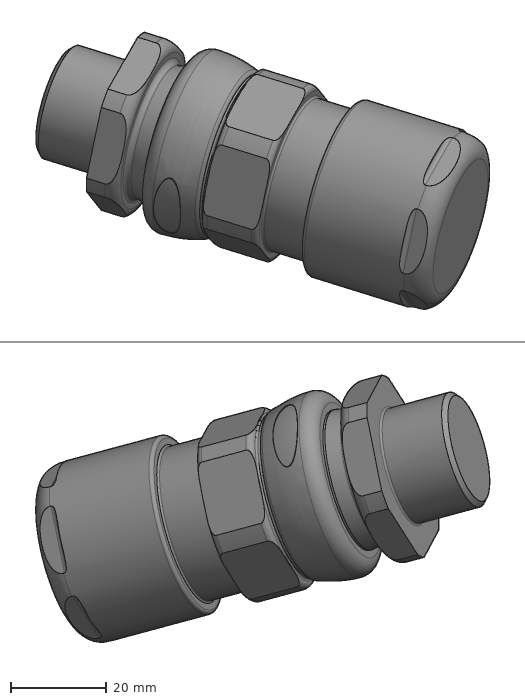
import cadquery as cq
import math


ACROSS_FLATS = 36.1
HEX_CORNER_RADIUS = 19.8
SIDES = 6
FOOT_FILLET = 0.5

THREAD_RADIUS = 25.0 / 2
THREAD_CHAMFER = 1.0
THREAD_TIP_RADIUS = THREAD_RADIUS - THREAD_CHAMFER
ENTRY_HEX_START = 15.0
ENTRY_HEX_END = 21.8
ENTRY_HEX_ROUND = 2.6
NECK_START_RADIUS = 29.3 / 2
NECK_END_RADIUS = 30.5 / 2
NECK_FILLET = 1.3
NECK_END = 26.4

RING_FACE = 26.8
RING_RADIUS = 40.5 / 2
RING_ROUND = 3.4
RING_CROWN_RADIUS = 25.45
RING_CROWN_END = 39.2
RING_END = 40.0
PAD_HEIGHT = 0.14
PAD_CENTER = 33.45
PAD_HALF_LENGTH = 2.9
PAD_HALF_HEIGHT = 8.45

BOSS_RADIUS = 17.8
NUT_START = 41.0
NUT_END = 53.85
NUT_FRONT_ROUND = 1.5
NUT_BACK_ROUND = 1.3
SLEEVE_RADIUS = 33.5 / 2
SLEEVE_END = 63.8

CAP_RADIUS = 19.5
CAP_FRONT_ROUND = 0.8
CAP_BACK_ROUND = 4.7
CAP_FLAT_START = 85.9
CAP_FLAT_FILLET = 1.0
TOTAL_LENGTH = 91.9


def turned(profile):
    """Close a half profile, drawn as (x, radius), and revolve it about the X axis."""
    return profile.close().revolve(360, (0, 0, 0), (1, 0, 0))


def start_profile(x):
    """Begin a half profile on the axis at the given x."""
    return cq.Workplane("XY").moveTo(x, 0)


def hex_prism(start, end):
    """Hexagonal bar along X with flats facing +Z and -Z."""
    corner_diameter = ACROSS_FLATS / math.cos(math.pi / SIDES)
    return (
        cq.Workplane("YZ", origin=(start, 0, 0))
        .polygon(SIDES, corner_diameter)
        .extrude(end - start)
    )


def arc_before_shoulder(profile, x, radius, fillet):
    """Run along a cylinder of the given radius and flare out concavely to a shoulder at x."""
    start = x - fillet
    profile = profile.lineTo(start, radius)
    return profile.tangentArcPoint((x, radius + fillet), relative=False)


def make_entry():
    """Threaded end, rounded hexagon and flaring neck."""
    thread = start_profile(0).lineTo(0, THREAD_TIP_RADIUS).lineTo(THREAD_CHAMFER, THREAD_RADIUS)
    thread = arc_before_shoulder(thread, ENTRY_HEX_START, THREAD_RADIUS, FOOT_FILLET)
    thread = turned(thread.lineTo(ENTRY_HEX_START, 0))

    hexagon = turned(
        start_profile(ENTRY_HEX_START)
        .lineTo(ENTRY_HEX_START, HEX_CORNER_RADIUS)
        .lineTo(ENTRY_HEX_END - ENTRY_HEX_ROUND, HEX_CORNER_RADIUS)
        .tangentArcPoint((ENTRY_HEX_END, HEX_CORNER_RADIUS - ENTRY_HEX_ROUND), relative=False)
        .lineTo(ENTRY_HEX_END, 0)
    ).intersect(hex_prism(ENTRY_HEX_START, ENTRY_HEX_END))

    fillet_drop = NECK_FILLET * (1 - math.sqrt(0.5))
    neck = turned(
        start_profile(ENTRY_HEX_END)
        .lineTo(ENTRY_HEX_END, NECK_START_RADIUS + NECK_FILLET)
        .threePointArc(
            (ENTRY_HEX_END + fillet_drop, NECK_START_RADIUS + fillet_drop),
            (ENTRY_HEX_END + NECK_FILLET, NECK_START_RADIUS),
        )
        .lineTo(NECK_END, NECK_END_RADIUS)
        .lineTo(NECK_END, 0)
    )
    return thread.union(hexagon).union(neck)


def ring_blank(raise_by):
    """Rounded ring, with its crown raised by the given height."""
    crown_start = RING_FACE + RING_ROUND
    crown_run = RING_CROWN_END - crown_start
    crown_drop = RING_CROWN_RADIUS - math.sqrt(RING_CROWN_RADIUS**2 - crown_run**2)
    top = RING_RADIUS + raise_by
    round_offset = RING_ROUND * math.sqrt(0.5)
    return turned(
        start_profile(NECK_END)
        .lineTo(NECK_END, NECK_END_RADIUS)
        .lineTo(RING_FACE, NECK_END_RADIUS)
        .lineTo(RING_FACE, top - RING_ROUND)
        .threePointArc(
            (crown_start - round_offset, top - RING_ROUND + round_offset),
            (crown_start, top),
        )
        .tangentArcPoint((RING_CROWN_END, top - crown_drop), relative=False)
        .tangentArcPoint((RING_END, BOSS_RADIUS + raise_by), relative=False)
        .lineTo(RING_END, 0)
    )


def make_seal_ring():
    """Crowned ring with a slightly raised elliptical pad on each side."""
    pads = (
        cq.Workplane("XZ")
        .center(PAD_CENTER, 0)
        .ellipse(PAD_HALF_LENGTH, PAD_HALF_HEIGHT)
        .extrude(2 * RING_RADIUS, both=True)
        .intersect(ring_blank(PAD_HEIGHT))
    )
    return ring_blank(0).union(pads)


def make_middle_nut():
    """Hexagon with a short boss towards the ring and a sleeve towards the cap."""
    hexagon = turned(
        start_profile(NUT_START)
        .lineTo(NUT_START, HEX_CORNER_RADIUS - NUT_FRONT_ROUND)
        .radiusArc((NUT_START + NUT_FRONT_ROUND, HEX_CORNER_RADIUS), NUT_FRONT_ROUND)
        .lineTo(NUT_END - NUT_BACK_ROUND, HEX_CORNER_RADIUS)
        .radiusArc((NUT_END, HEX_CORNER_RADIUS - NUT_BACK_ROUND), NUT_BACK_ROUND)
        .lineTo(NUT_END, 0)
    ).intersect(hex_prism(NUT_START, NUT_END))

    boss = start_profile(RING_END).lineTo(RING_END, BOSS_RADIUS)
    boss = arc_before_shoulder(boss, NUT_START, BOSS_RADIUS, FOOT_FILLET)
    boss = turned(boss.lineTo(NUT_START, 0))

    sleeve = (
        start_profile(NUT_END)
        .lineTo(NUT_END, SLEEVE_RADIUS + FOOT_FILLET)
        .radiusArc((NUT_END + FOOT_FILLET, SLEEVE_RADIUS), -FOOT_FILLET)
    )
    sleeve = arc_before_shoulder(sleeve, SLEEVE_END, SLEEVE_RADIUS, FOOT_FILLET)
    sleeve = turned(sleeve.lineTo(SLEEVE_END, 0))
    return hexagon.union(boss).union(sleeve)


def make_back_cap():
    """Round cap with six wrench flats at its domed end."""
    cap = turned(
        start_profile(SLEEVE_END)
        .lineTo(SLEEVE_END, CAP_RADIUS - CAP_FRONT_ROUND)
        .radiusArc((SLEEVE_END + CAP_FRONT_ROUND, CAP_RADIUS), CAP_FRONT_ROUND)
        .lineTo(TOTAL_LENGTH - CAP_BACK_ROUND, CAP_RADIUS)
        .radiusArc((TOTAL_LENGTH, CAP_RADIUS - CAP_BACK_ROUND), CAP_BACK_ROUND)
        .lineTo(TOTAL_LENGTH, 0)
    )
    flat_cutter = (
        cq.Workplane("XY", origin=(CAP_FLAT_START, 0, ACROSS_FLATS / 2))
        .box(TOTAL_LENGTH, 2 * CAP_RADIUS, CAP_RADIUS, centered=(False, True, False))
        .edges("<X and <Z")
        .fillet(CAP_FLAT_FILLET)
    )
    for side in range(SIDES):
        cap = cap.cut(flat_cutter.rotate((0, 0, 0), (1, 0, 0), 360 / SIDES * side))
    return cap


entry = make_entry()
seal_ring = make_seal_ring()
middle_nut = make_middle_nut()
back_cap = make_back_cap()

result = cq.Compound.makeCompound(
    [body.solids().val() for body in (entry, seal_ring, middle_nut, back_cap)]
)